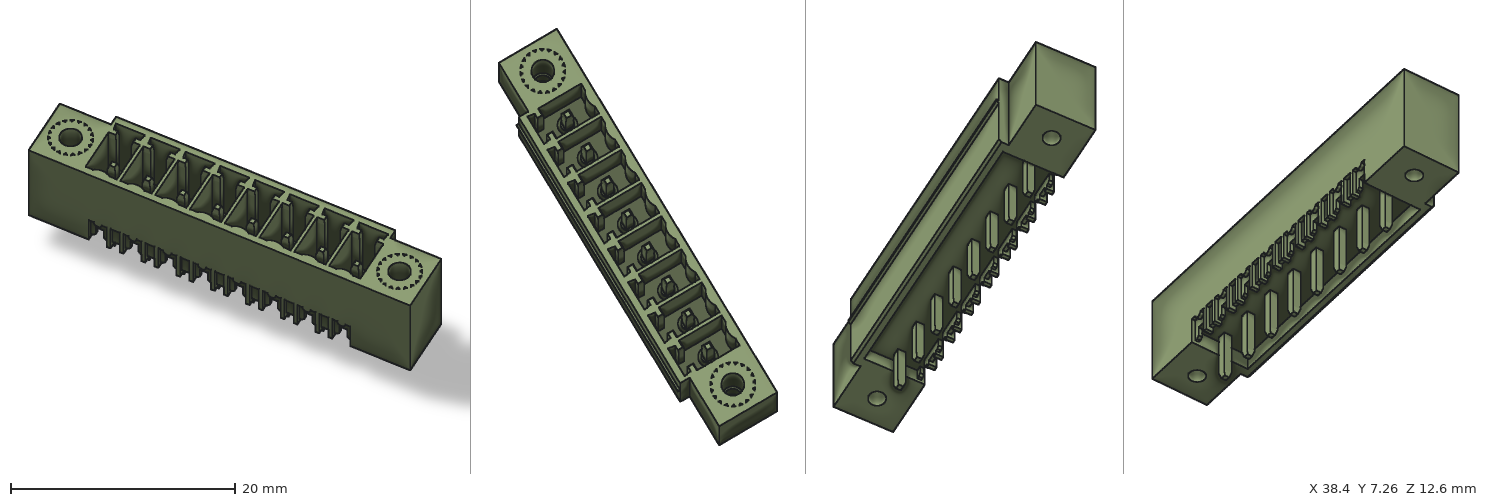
import cadquery as cq


length = 38.4
flange_depth = 6.03
body_depth = 7.03
body_height = 9.25
body_length = 28.1
back_chamfer = 0.25
rib_reach = 0.23
rib_height = 0.45
rib_top = 6.03

pin_count = 8
pin_span = 24.5
pitch = pin_span / (pin_count - 1)
pin_y = 3.05
pin_width = 0.8
pin_top = 7.9
pin_bottom = -3.35
tip_height = 0.55
tip_chamfer = 0.15
boss_diameter = 1.8
boss_top_diameter = 1.23
boss_height = 0.25

floor_z = 2.75
pocket_half = 1.57
pocket_front = 0.7
pocket_back = 6.35
key_half = 1.45
key_root_half = 1.35
neck_half = 0.75
lug_front = 5.03
lug_back = 5.65
lug_lead = 0.1
lug_lead_height = 0.58
bulge_width = 1.7
bulge_reach = 0.25

channel_front = 0.75
channel_back = 6.15
channel_height = 1.6
slot_depth = 0.4
slot_height = 2.75
wide_slot = 1.8
narrow_slot = 0.92
wide_web_bottom = 0.42
narrow_web_bottom = 0.55
mouth_chamfer = 0.23

insert_span = 33.1
insert_top_diameter = 2.05
insert_bore = 1.6
insert_diameter = 4.05
insert_length = body_height - floor_z
knurl_count = 19
knurl_width = 0.35
knurl_depth = 0.2

pin_places = [(i - (pin_count - 1) / 2) * pitch for i in range(pin_count)]
gap_places = [x + pitch / 2 for x in pin_places[:-1]]


def block(x_min, x_max, y_min, y_max, z_min, z_max):
    size = (x_max - x_min, y_max - y_min, z_max - z_min)
    return cq.Workplane("XY").box(*size, centered=False).translate((x_min, y_min, z_min))


def centered_block(x, width, y_min, y_max, z_min, z_max):
    return block(x - width / 2, x + width / 2, y_min, y_max, z_min, z_max)


def housing():
    flanges = centered_block(0, length, 0, flange_depth, 0, body_height)
    middle = centered_block(0, body_length, 0, body_depth, 0, body_height)
    middle = middle.faces(">Y").edges("<Z").chamfer(back_chamfer)
    rib = (
        cq.Workplane("YZ")
        .moveTo(body_depth, rib_top)
        .lineTo(body_depth + rib_reach, rib_top)
        .lineTo(body_depth + rib_reach, rib_top - rib_height + rib_reach)
        .lineTo(body_depth, rib_top - rib_height)
        .close()
        .extrude(body_length / 2, both=True)
    )
    return flanges.union(middle).union(rib)


def pocket_outline(plane, lead):
    """Pocket outline with the inner and front faces of its two lugs set back by the lead."""
    neck = neck_half + lead
    front = lug_front + lead
    return (
        plane.moveTo(-pocket_half, pocket_front)
        .lineTo(-bulge_width / 2, pocket_front)
        .threePointArc((0, pocket_front + bulge_reach), (bulge_width / 2, pocket_front))
        .lineTo(pocket_half, pocket_front)
        .lineTo(pocket_half, front)
        .lineTo(neck, front)
        .lineTo(neck, lug_back)
        .lineTo(key_root_half, lug_back)
        .lineTo(key_half, pocket_back)
        .lineTo(-key_half, pocket_back)
        .lineTo(-key_root_half, lug_back)
        .lineTo(-neck, lug_back)
        .lineTo(-neck, front)
        .lineTo(-pocket_half, front)
        .close()
    )


def pocket(x):
    """Space for one plug contact, open at the top."""
    lead_start = body_height - lug_lead_height
    straight = pocket_outline(cq.Workplane("XY", origin=(x, 0, floor_z)), 0)
    straight = straight.extrude(lead_start - floor_z)
    lead_in = pocket_outline(cq.Workplane("XY", origin=(x, 0, lead_start)), 0)
    lead_in = pocket_outline(lead_in.workplane(offset=lug_lead_height), lug_lead)
    return straight.union(lead_in.loft(ruled=True))


def pin(x):
    stem = centered_block(
        x, pin_width, pin_y - pin_width / 2, pin_y + pin_width / 2, pin_bottom, pin_top
    )
    return stem.faces("<Z or >Z").chamfer(tip_height, tip_chamfer)


def boss(x):
    return (
        cq.Workplane("XY", origin=(x, pin_y, floor_z))
        .circle(boss_diameter / 2)
        .workplane(offset=boss_height)
        .circle(boss_top_diameter / 2)
        .loft()
    )


def wide_slot_cut(x):
    """Front recess below a pin, with a half-round bump in its roof and a pin-wide mouth."""
    recess = centered_block(x, wide_slot, 0, slot_depth, 0, slot_height)
    bump = (
        cq.Workplane("XZ", origin=(x, 0, slot_height))
        .circle(pin_width / 2)
        .extrude(-slot_depth)
    )
    mouth = centered_block(x, pin_width, slot_depth, channel_front, 0, channel_height)
    flare = (
        cq.Workplane("XZ", origin=(x, slot_depth, wide_web_bottom))
        .moveTo(-pin_width / 2 - mouth_chamfer, 0)
        .lineTo(pin_width / 2 + mouth_chamfer, 0)
        .lineTo(pin_width / 2, mouth_chamfer)
        .lineTo(-pin_width / 2, mouth_chamfer)
        .close()
        .extrude(slot_depth - channel_front)
    )
    under = centered_block(x, wide_slot, slot_depth, channel_front, 0, wide_web_bottom)
    return recess.cut(bump).union(mouth).union(flare).union(under)


def narrow_slot_cut(x):
    recess = centered_block(x, narrow_slot, 0, slot_depth, 0, slot_height)
    under = centered_block(x, narrow_slot, slot_depth, channel_front, 0, narrow_web_bottom)
    return recess.union(under)


def insert_cut(side):
    """Stepped screw hole through a flange, ringed by the V grooves of the insert's knurl."""
    center_x = side * insert_span / 2
    seat = cq.Workplane("XY", origin=(center_x, pin_y, floor_z))
    bore = cq.Workplane("XY", origin=(center_x, pin_y, 0)).circle(insert_bore / 2)
    cut = bore.extrude(body_height)
    cut = cut.union(seat.circle(insert_top_diameter / 2).extrude(insert_length))
    radius = insert_diameter / 2
    groove = (
        seat.moveTo(-side * radius, -knurl_width / 2)
        .lineTo(-side * (radius - knurl_depth), 0)
        .lineTo(-side * radius, knurl_width / 2)
        .close()
        .extrude(insert_length)
    )
    axis_start = (center_x, pin_y, 0)
    axis_end = (center_x, pin_y, 1)
    for i in range(knurl_count):
        cut = cut.add(groove.rotate(axis_start, axis_end, i * 360 / knurl_count))
    return cut.combine()


result = housing()
channel_length = pin_span + wide_slot
result = result.cut(
    centered_block(0, channel_length, channel_front, channel_back, 0, channel_height)
)
for x in pin_places:
    result = result.cut(pocket(x))
    result = result.cut(wide_slot_cut(x))
for x in gap_places:
    result = result.cut(narrow_slot_cut(x))
for side in (-1, 1):
    result = result.cut(insert_cut(side))
for x in pin_places:
    result = result.union(boss(x)).union(pin(x))